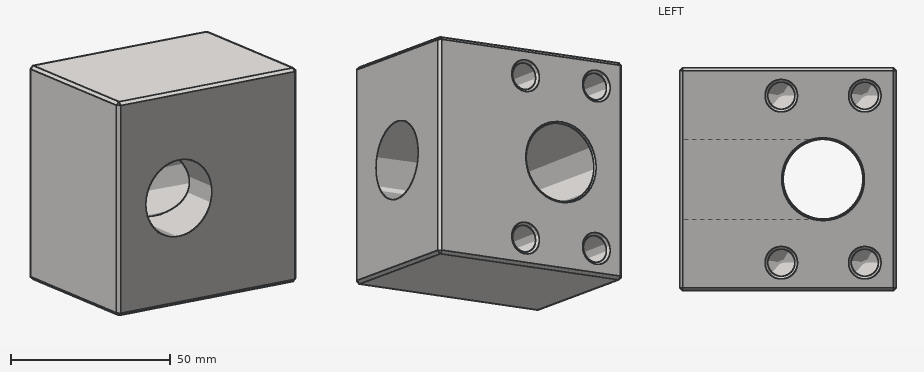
import cadquery as cq
import math

length_x = 50.0
width_y = 68.0
height_z = 70.0
edge_chamfer = 1.0
left_x = -length_x / 2

bore_diameter = 25.0
bore_chamfer = 0.5
bore_from_front = 23.0
bore_y = -width_y / 2 + bore_from_front

branch_diameter = bore_diameter
branch_length = width_y / 2 - bore_y

bolt_hole_diameter = 8.5
bolt_hole_mouth_diameter = 10.2
bolt_hole_depth = 20.0
drill_point_angle = 118.0
bolt_spacing_y = 26.2
bolt_spacing_z = 52.4


def make_block():
    """Rectangular block with every outer edge chamfered."""
    block = cq.Workplane("XY").box(length_x, width_y, height_z)
    return block.edges().chamfer(edge_chamfer)


def turned_cutter(profile, y, z):
    """Cutter turned about an X-parallel axis from (depth below the -X face, radius) points."""
    cutter = cq.Workplane("XY").polyline(profile).close().revolve(360, (0, 0, 0), (1, 0, 0))
    return cutter.translate((left_x, y, z))


def main_bore_cutter():
    """Through bore with a chamfered mouth in the -X face."""
    radius = bore_diameter / 2
    profile = [
        (0, 0),
        (0, radius + bore_chamfer),
        (bore_chamfer, radius),
        (length_x, radius),
        (length_x, 0),
    ]
    return turned_cutter(profile, bore_y, 0)


def branch_bore_cutter():
    """Plain bore that starts on the main bore axis and runs in +Y, midway along the block."""
    branch = cq.Workplane("XZ").circle(branch_diameter / 2).extrude(-branch_length)
    return branch.translate((0, bore_y, 0))


def bolt_hole_cutter(y, z):
    """Blind drilled hole with a 45 degree countersunk mouth and a conical bottom."""
    radius = bolt_hole_diameter / 2
    mouth_radius = bolt_hole_mouth_diameter / 2
    countersink_depth = mouth_radius - radius
    point_length = radius / math.tan(math.radians(drill_point_angle / 2))
    profile = [
        (0, 0),
        (0, mouth_radius),
        (countersink_depth, radius),
        (bolt_hole_depth, radius),
        (bolt_hole_depth + point_length, 0),
    ]
    return turned_cutter(profile, y, z)


result = make_block().cut(main_bore_cutter()).cut(branch_bore_cutter())
for side_y in (-1, 1):
    for side_z in (-1, 1):
        hole_y = bore_y + side_y * bolt_spacing_y / 2
        hole_z = side_z * bolt_spacing_z / 2
        result = result.cut(bolt_hole_cutter(hole_y, hole_z))